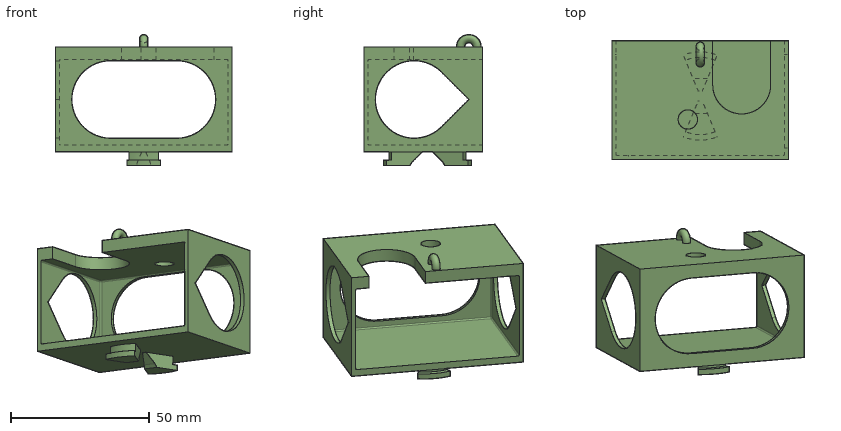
import cadquery as cq
import math

LENGTH = 64.0
DEPTH = 43.0
HEIGHT = 38.0
SIDE_WALL = 1.5
FRONT_WALL = 1.5
FLOOR = 2.5
ROOF = 4.5
CAVITY_FILLET = 0.5

WINDOW_HEIGHT = 28.0
WINDOW_LENGTH = 52.0

TEARDROP_RADIUS = 14.0
TEARDROP_TIP_Y = 38.0
TEARDROP_CENTER_Y = TEARDROP_TIP_Y - TEARDROP_RADIUS * math.sqrt(2)

NOTCH_X = 47.0
NOTCH_RADIUS = 10.5
NOTCH_CENTER_Y = 27.0

HOLE_X = 27.5
HOLE_Y = 14.5
HOLE_DIAMETER = 7.0

LOOP_Y = 38.0
LOOP_RADIUS = 3.0
LOOP_WIRE_RADIUS = 1.5

FOOT_Y = 23.0
FOOT_SECTOR_ANGLE = 45.0
STEM_RADIUS = 14.0
STEM_HEIGHT = 3.0
FLANGE_RADIUS = 16.0
FLANGE_HEIGHT = 2.0
FOOT_HEIGHT = STEM_HEIGHT + FLANGE_HEIGHT

GAP_TOP_HALF_WIDTH = 1.85
GAP_KNEE_DEPTH = 3.7
GAP_KNEE_HALF_WIDTH = GAP_TOP_HALF_WIDTH + GAP_KNEE_DEPTH
GAP_BOTTOM_HALF_WIDTH = 6.3

MID_X = LENGTH / 2
MID_Z = HEIGHT / 2


def housing():
    """Box hollowed from the back, with rounded inner edges."""
    cavity_length = LENGTH - 2 * SIDE_WALL
    cavity_height = HEIGHT - FLOOR - ROOF
    cavity = (
        cq.Workplane("XY")
        .box(cavity_length, DEPTH, cavity_height, centered=False)
        .edges("|Y or <Y")
        .fillet(CAVITY_FILLET)
        .translate((SIDE_WALL, FRONT_WALL, FLOOR))
    )
    return cq.Workplane("XY").box(LENGTH, DEPTH, HEIGHT, centered=False).cut(cavity)


def front_window():
    """Cutter for the window, passing through the front wall to the open back."""
    return (
        cq.Workplane("XZ")
        .center(MID_X, MID_Z)
        .slot2D(WINDOW_LENGTH, WINDOW_HEIGHT)
        .extrude(-DEPTH)
    )


def side_teardrops():
    """Cutter for the teardrop openings, passing through both side walls."""
    tangent_offset = TEARDROP_RADIUS / math.sqrt(2)
    tangent_y = TEARDROP_CENTER_Y + tangent_offset
    return (
        cq.Workplane("YZ")
        .moveTo(TEARDROP_TIP_Y, MID_Z)
        .lineTo(tangent_y, MID_Z + tangent_offset)
        .threePointArc(
            (TEARDROP_CENTER_Y - TEARDROP_RADIUS, MID_Z),
            (tangent_y, MID_Z - tangent_offset),
        )
        .close()
        .extrude(LENGTH)
    )


def roof_notch():
    """Cutter for the round-ended notch at the back of the roof."""
    return (
        cq.Workplane("XY", origin=(0, 0, MID_Z))
        .moveTo(NOTCH_X - NOTCH_RADIUS, DEPTH)
        .lineTo(NOTCH_X - NOTCH_RADIUS, NOTCH_CENTER_Y)
        .threePointArc(
            (NOTCH_X, NOTCH_CENTER_Y - NOTCH_RADIUS),
            (NOTCH_X + NOTCH_RADIUS, NOTCH_CENTER_Y),
        )
        .lineTo(NOTCH_X + NOTCH_RADIUS, DEPTH)
        .close()
        .extrude(HEIGHT - MID_Z)
    )


def roof_hole():
    """Cutter for the hole through the roof."""
    return (
        cq.Workplane("XY", origin=(HOLE_X, HOLE_Y, MID_Z))
        .circle(HOLE_DIAMETER / 2)
        .extrude(HEIGHT - MID_Z)
    )


def loop():
    """Half ring in the YZ plane with both ends on the roof."""
    return (
        cq.Workplane("XY", origin=(MID_X, LOOP_Y, HEIGHT))
        .center(0, LOOP_RADIUS)
        .circle(LOOP_WIRE_RADIUS)
        .revolve(180, (0, -LOOP_RADIUS, 0), (1, -LOOP_RADIUS, 0))
    )


def sector(radius, height, side):
    """Solid sector with its apex at the origin, centred on the +Y (side 1) or -Y (side -1) axis."""
    half_angle = math.radians(FOOT_SECTOR_ANGLE / 2)
    corner_x = radius * math.sin(half_angle)
    corner_y = side * radius * math.cos(half_angle)
    return (
        cq.Workplane("XY")
        .lineTo(corner_x, corner_y)
        .threePointArc((0, side * radius), (-corner_x, corner_y))
        .close()
        .extrude(-height)
    )


def foot_gap():
    """Cutter for the flared gap running along X between the foot sectors."""
    return (
        cq.Workplane("YZ")
        .moveTo(-GAP_TOP_HALF_WIDTH, 0)
        .lineTo(-GAP_KNEE_HALF_WIDTH, -GAP_KNEE_DEPTH)
        .lineTo(-GAP_BOTTOM_HALF_WIDTH, -FOOT_HEIGHT)
        .lineTo(GAP_BOTTOM_HALF_WIDTH, -FOOT_HEIGHT)
        .lineTo(GAP_KNEE_HALF_WIDTH, -GAP_KNEE_DEPTH)
        .lineTo(GAP_TOP_HALF_WIDTH, 0)
        .close()
        .extrude(FLANGE_RADIUS, both=True)
    )


def foot_half(side):
    """One stem and flange sector, trimmed by the gap and placed under the floor."""
    stem = sector(STEM_RADIUS, STEM_HEIGHT, side)
    flange = sector(FLANGE_RADIUS, FLANGE_HEIGHT, side).translate((0, 0, -STEM_HEIGHT))
    return stem.union(flange).cut(foot_gap()).translate((MID_X, FOOT_Y, 0))


body = housing()
for cutter in (front_window(), side_teardrops(), roof_notch(), roof_hole()):
    body = body.cut(cutter)

result = body.union(loop())
for foot_side in (1, -1):
    result = result.union(foot_half(foot_side))